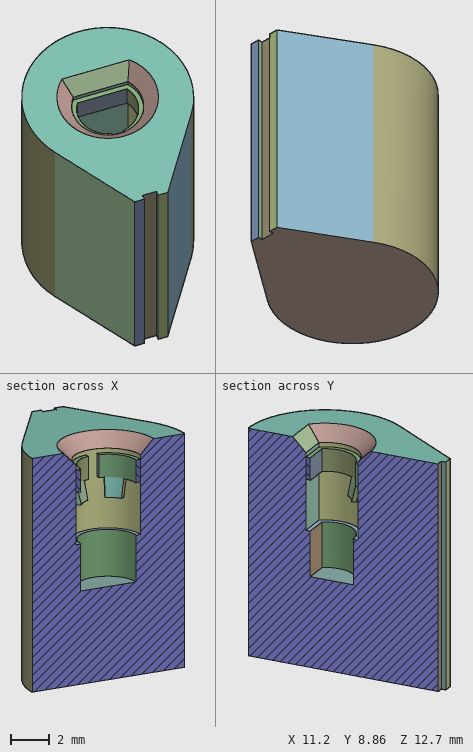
import cadquery as cq
import math

height = 12.7
barrel_radius = 4.43
tip_x = 6.73
tip_half_width = 0.9
notch_width = 0.76
notch_depth = 0.25

bore_radius = 1.85
bore_flat_x = -1.1
mouth_chamfer = 0.76
bore_depth = 5.08
lower_bore_depth = 7.62

sleeve_wall = 0.25
sleeve_inner_radius = bore_radius - sleeve_wall
sleeve_inner_flat_x = bore_flat_x + sleeve_wall
sleeve_top_z = height - 1.0
sleeve_bottom_z = height - 2.26
slot_width = 0.64

finger_angles = (-40.0, 40.0)
finger_span = 37.0
finger_tip_z = sleeve_bottom_z - 1.0
finger_lean = 0.24


def d_prism(radius, flat_x, bottom_z, top_z):
    """D-shaped prism: a cylinder cut off by a flat facing -X."""
    half_flat = math.sqrt(radius**2 - flat_x**2)
    return (
        cq.Workplane("XY", origin=(0, 0, bottom_z))
        .moveTo(flat_x, -half_flat)
        .threePointArc((radius, 0), (flat_x, half_flat))
        .close()
        .extrude(top_z - bottom_z)
    )


def mouth_cutter():
    """Flared D: a 45 degree cone trimmed by a 45 degree plane at the flat."""
    bottom_z = height - mouth_chamfer
    outer_radius = bore_radius + mouth_chamfer
    cone = cq.Workplane(
        cq.Solid.makeCone(bore_radius, outer_radius, mouth_chamfer, pnt=cq.Vector(0, 0, bottom_z))
    )
    flat_side = (
        cq.Workplane("XZ")
        .polyline([
            (bore_flat_x, bottom_z),
            (bore_flat_x - mouth_chamfer, height),
            (outer_radius, height),
            (outer_radius, bottom_z),
        ])
        .close()
        .extrude(outer_radius, both=True)
    )
    return cone.intersect(flat_side)


def make_housing():
    tip_distance = math.hypot(tip_x, tip_half_width)
    tangent_angle = math.atan2(tip_half_width, tip_x) + math.acos(barrel_radius / tip_distance)
    tangent_x = barrel_radius * math.cos(tangent_angle)
    tangent_y = barrel_radius * math.sin(tangent_angle)
    notch_floor_x = tip_x - notch_depth
    body = (
        cq.Workplane("XY")
        .moveTo(tangent_x, tangent_y)
        .threePointArc((-barrel_radius, 0), (tangent_x, -tangent_y))
        .lineTo(tip_x, -tip_half_width)
        .lineTo(tip_x, -notch_width / 2)
        .lineTo(notch_floor_x, -notch_width / 2)
        .lineTo(notch_floor_x, notch_width / 2)
        .lineTo(tip_x, notch_width / 2)
        .lineTo(tip_x, tip_half_width)
        .close()
        .extrude(height)
    )
    bore = d_prism(bore_radius, bore_flat_x, height - bore_depth, height - mouth_chamfer)
    lower_bore = d_prism(
        sleeve_inner_radius, sleeve_inner_flat_x, height - lower_bore_depth, height - bore_depth
    )
    return body.cut(mouth_cutter()).cut(bore).cut(lower_bore)


def make_finger(angle):
    """Curved finger whose wall leans toward the axis on its way down."""
    start_angle = angle - finger_span / 2
    return (
        cq.Workplane("XZ")
        .polyline([
            (sleeve_inner_radius, sleeve_bottom_z),
            (bore_radius, sleeve_bottom_z),
            (bore_radius - finger_lean, finger_tip_z),
            (sleeve_inner_radius - finger_lean, finger_tip_z),
        ])
        .close()
        .revolve(finger_span, (0, 0, 0), (0, 1, 0))
        .rotate((0, 0, 0), (0, 0, 1), start_angle)
    )


def make_sleeve():
    ring = d_prism(bore_radius, bore_flat_x, sleeve_bottom_z, sleeve_top_z).cut(
        d_prism(sleeve_inner_radius, sleeve_inner_flat_x, sleeve_bottom_z, sleeve_top_z)
    )
    slot = (
        cq.Workplane("XY", origin=(0, 0, sleeve_bottom_z))
        .rect(bore_radius, slot_width)
        .extrude(sleeve_top_z - sleeve_bottom_z)
        .translate((bore_radius, 0, 0))
    )
    sleeve = ring.cut(slot)
    for angle in finger_angles:
        sleeve = sleeve.union(make_finger(angle))
    return sleeve


housing = make_housing()
sleeve = make_sleeve()
result = cq.Compound.makeCompound([housing.val(), sleeve.val()])